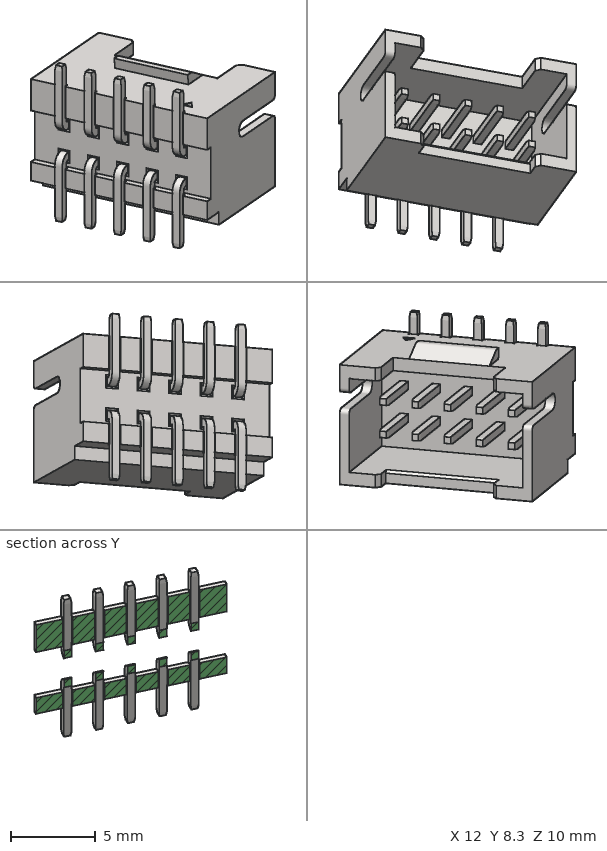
import cadquery as cq
import math


body_width = 12.0
body_height = 7.35
body_back = 8.3
top_z = body_height / 2
bottom_z = -body_height / 2

rib_front = 0.2
recess_front = 0.65
recess_half_height = 1.65
lower_rib_bottom = -2.85
step_front = 1.6

side_wall = 0.6
top_wall = 0.8
cavity_floor = 2.2
cavity_width = body_width - 2 * side_wall
cavity_height = body_height - 2 * top_wall

opening_width = 7.0
top_opening_start = 5.8
bottom_opening_start = 7.2
lead_in = 0.17
opening_chamfer = 0.27

slot_z = 1.45
slot_radius = 0.5
slot_end = 4.0
mouth_radius = 0.3

latch_width = 5.0
latch_back = top_opening_start
latch_crest = 4.5
latch_lip = 4.0
latch_foot = 4.1
latch_height = 0.66
latch_crest_radius = 0.4

pin_count = 5
pitch = 2.0
row_z = pitch / 2
pin_size = 0.5
pin_bend_inner = 0.18
pin_bend_outer = pin_bend_inner + pin_size
pin_tip_y = 6.15
foot_tip_z = 5.0
tip_length = 0.3
tip_inset = 0.05
tip_taper = math.degrees(math.atan(tip_inset / tip_length))

pocket_size = 0.8
pocket_depth = (pocket_size - pin_size) / 2
pocket_taper = 45.0
groove_width = 0.6
groove_floor = 0.52
groove_chamfer = 0.08

mark_x = (pin_count - 1) * pitch / 2
mark_y = 1.31
mark_width = 0.7
mark_length = 0.55
mark_depth = 0.05

pin_positions = [(i - (pin_count - 1) / 2) * pitch for i in range(pin_count)]


def box(width, y_range, z_range):
    """Block centred on X, spanning the given Y and Z ranges."""
    length = y_range[1] - y_range[0]
    height = z_range[1] - z_range[0]
    block = cq.Workplane("XY").box(width, length, height, centered=(True, False, False))
    return block.translate((0, y_range[0], z_range[0]))


def make_shell():
    """Housing outline extruded along X and hollowed from the back."""
    outline = [
        (rib_front, top_z),
        (body_back, top_z),
        (body_back, bottom_z),
        (step_front, bottom_z),
        (step_front, lower_rib_bottom),
        (rib_front, lower_rib_bottom),
        (rib_front, -recess_half_height),
        (recess_front, -recess_half_height),
        (recess_front, recess_half_height),
        (rib_front, recess_half_height),
    ]
    block = cq.Workplane("YZ").polyline(outline).close().extrude(body_width / 2, both=True)
    half = cavity_height / 2
    return block.cut(box(cavity_width, (cavity_floor, body_back), (-half, half)))


def cut_side_slots(body):
    """Round-ended slots with rounded mouths, through both side walls."""
    low = slot_z - slot_radius
    high = slot_z + slot_radius
    mouth = body_back - mouth_radius
    corner_shift = mouth_radius * (1 - math.sqrt(0.5))
    slot = (
        cq.Workplane("YZ")
        .moveTo(body_back, low - mouth_radius)
        .threePointArc((body_back - corner_shift, low - corner_shift), (mouth, low))
        .lineTo(slot_end + slot_radius, low)
        .threePointArc((slot_end, slot_z), (slot_end + slot_radius, high))
        .lineTo(mouth, high)
        .threePointArc((body_back - corner_shift, high + corner_shift), (body_back, high + mouth_radius))
        .close()
        .extrude(body_width / 2, both=True)
    )
    return body.cut(slot)


def cut_wall_openings(body):
    """Chamfered openings in the top and bottom walls, with a lead-in on the bottom wall."""
    half = opening_width / 2
    mouth_half = half + opening_chamfer
    mouth = [
        (-half, body_back - opening_chamfer),
        (half, body_back - opening_chamfer),
        (mouth_half, body_back),
        (-mouth_half, body_back),
    ]
    for y_start, z_range in (
        (top_opening_start, (0, top_z)),
        (bottom_opening_start, (bottom_z, 0)),
    ):
        opening = box(opening_width, (y_start, body_back), z_range)
        flare = cq.Workplane("XY", origin=(0, 0, z_range[0])).polyline(mouth).close()
        flare = flare.extrude(z_range[1] - z_range[0])
        body = body.cut(opening).cut(flare)
    inner_z = -cavity_height / 2
    lead_in_profile = [
        (bottom_opening_start - lead_in, inner_z),
        (bottom_opening_start, inner_z),
        (bottom_opening_start, inner_z - lead_in),
    ]
    wedge = cq.Workplane("YZ").polyline(lead_in_profile).close().extrude(half, both=True)
    return body.cut(wedge)


def make_latch():
    """Ramp with a rounded crest and an undercut front face."""
    crest_z = top_z + latch_height
    profile = [
        (latch_back, top_z),
        (latch_crest, crest_z),
        (latch_lip, crest_z),
        (latch_foot, top_z),
    ]
    latch = cq.Workplane("YZ").polyline(profile).close().extrude(latch_width / 2, both=True)
    crest = cq.selectors.NearestToPointSelector((0, latch_crest, crest_z))
    return latch.edges(crest).fillet(latch_crest_radius)


def make_groove(x):
    """Vertical groove through both ribs, chamfered at its front edges."""
    half = groove_width / 2
    lip_half = half + groove_chamfer
    profile = [
        (x - lip_half, rib_front),
        (x - half, rib_front + groove_chamfer),
        (x - half, groove_floor),
        (x + half, groove_floor),
        (x + half, rib_front + groove_chamfer),
        (x + lip_half, rib_front),
    ]
    return cq.Workplane("XY").polyline(profile).close().extrude(body_height / 2, both=True)


def make_pocket(x, z):
    """Pyramidal pocket around a pin in the recess face."""
    return (
        cq.Workplane("ZX", origin=(x, recess_front, z))
        .rect(pocket_size, pocket_size)
        .extrude(pocket_depth, taper=pocket_taper)
    )


def make_tip(plane, origin):
    """Tapered pin end, growing along the normal of the given plane."""
    base = cq.Workplane(plane, origin=origin).rect(pin_size, pin_size)
    return base.extrude(tip_length, taper=tip_taper)


def make_upper_pin():
    """Upper-row pin at X = 0, running from the cavity and bent up to its foot."""
    half = pin_size / 2
    low = row_z - half
    high = row_z + half
    bend_y = pin_bend_outer
    bend_z = low + pin_bend_outer
    outer_shift = pin_bend_outer * math.sqrt(0.5)
    inner_shift = pin_bend_inner * math.sqrt(0.5)
    straight_end = pin_tip_y - tip_length
    foot_end = foot_tip_z - tip_length
    shaft = (
        cq.Workplane("YZ")
        .moveTo(straight_end, low)
        .lineTo(bend_y, low)
        .threePointArc((bend_y - outer_shift, bend_z - outer_shift), (0, bend_z))
        .lineTo(0, foot_end)
        .lineTo(pin_size, foot_end)
        .lineTo(pin_size, bend_z)
        .threePointArc((bend_y - inner_shift, bend_z - inner_shift), (bend_y, high))
        .lineTo(straight_end, high)
        .close()
        .extrude(half, both=True)
    )
    shaft = shaft.union(make_tip("ZX", (0, straight_end, row_z)))
    return shaft.union(make_tip("XY", (0, half, foot_end)))


def make_pin_mark():
    """Shallow triangle pointing towards the mating side."""
    corners = [
        (mark_x - mark_width / 2, mark_y),
        (mark_x + mark_width / 2, mark_y),
        (mark_x, mark_y + mark_length),
    ]
    return cq.Workplane("XY", origin=(0, 0, top_z)).polyline(corners).close().extrude(-mark_depth)


housing = make_shell()
housing = cut_side_slots(housing)
housing = cut_wall_openings(housing)
housing = housing.union(make_latch())
housing = housing.cut(make_pin_mark())

for pin_x in pin_positions:
    housing = housing.cut(make_groove(pin_x))
    for pocket_z in (-row_z, row_z):
        housing = housing.cut(make_pocket(pin_x, pocket_z))

upper_pin = make_upper_pin()
lower_pin = upper_pin.mirror("XY")
for pin_x in pin_positions:
    for pin in (upper_pin, lower_pin):
        housing = housing.union(pin.translate((pin_x, 0, 0)))

result = housing